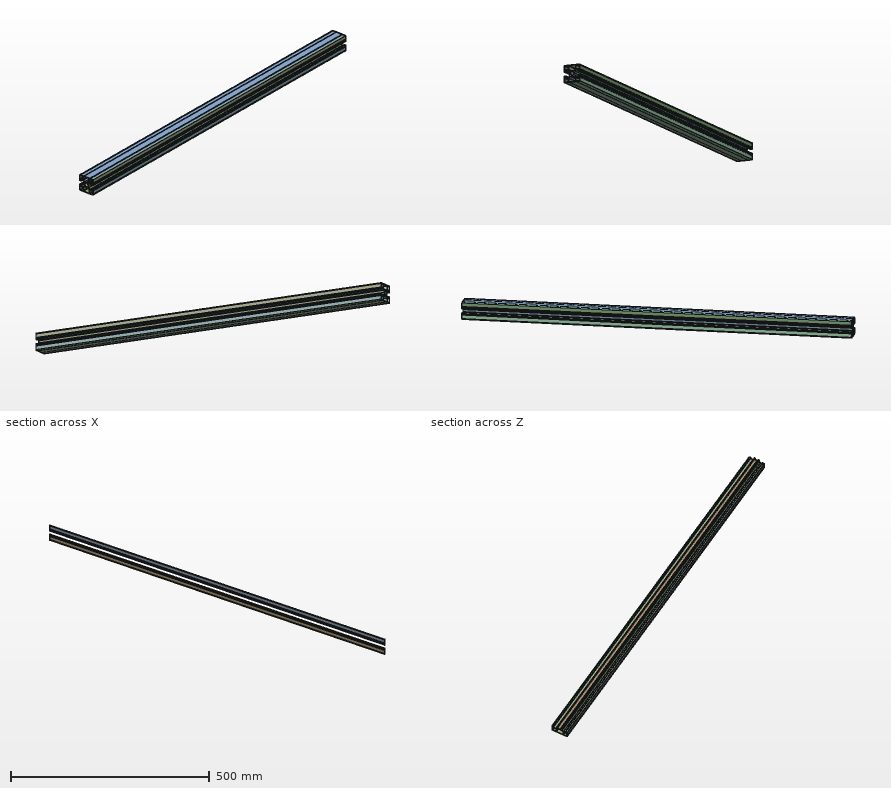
import cadquery as cq
import math

side = 45.0
length = 1000.0
corner_radius = 3.0

mouth_width = 10.0
mouth_radius = 1.5
lip_depth = 5.5
lip_step_width = 14.0

skin = 1.6
cavity_width = 18.2
web = 3.0

core = 15.0
bore_diameter = 10.0
floor_groove_width = 4.0
floor_groove_depth = 0.5

cell_outer_wall = 2.25
cell_inner_wall = 2.0

half = side / 2
lip_face = half - lip_depth
cavity_back = half - skin
quarter_turns = (0, 90, 180, 270)
open_side_turns = (0, 180)


def prism(section):
    """Extrude a section drawn on the XZ plane along the whole length."""
    return section.extrude(length / 2, both=True)


def turned(body, angle):
    """Turn a body about the axis of the extrusion."""
    return body.rotate((0, 0, 0), (0, 1, 0), angle)


def blank():
    """Solid square bar with rounded corners."""
    return prism(cq.Workplane("XZ").rect(side, side)).edges("|Y").fillet(corner_radius)


def cavity():
    """Hollow behind the +X side, between the skin, two diagonal webs and the grooved core floor."""
    floor = core / 2
    web_offset = web / 2 * math.sqrt(2)
    cavity_half = cavity_width / 2
    upper = [
        (cavity_back, cavity_half),
        (cavity_half + web_offset, cavity_half),
        (floor, floor - web_offset),
        (floor, floor_groove_width / 2),
    ]
    groove_bottom = [(floor - floor_groove_depth, 0)]
    lower = [(x, -z) for x, z in reversed(upper)]
    return prism(cq.Workplane("XZ").polyline(upper + groove_bottom + lower).close())


def corner_cell():
    """Square hollow in one corner."""
    inner = cavity_width / 2 + cell_inner_wall
    size = half - cell_outer_wall - inner
    centre = inner + size / 2
    return prism(cq.Workplane("XZ").center(centre, centre).rect(size, size))


def lip_ends():
    """Block behind the +X skin that leaves the two thickened lip ends once the mouth is cut."""
    centre = (lip_face + cavity_back) / 2
    return prism(cq.Workplane("XZ").center(centre, 0).rect(cavity_back - lip_face, lip_step_width))


def mouth():
    """Opening of the +X slot, flaring outward to round its outer edges."""
    edge = mouth_width / 2
    return prism(
        cq.Workplane("XZ")
        .moveTo(lip_face, -edge)
        .lineTo(half - mouth_radius, -edge)
        .radiusArc((half, -edge - mouth_radius), mouth_radius)
        .lineTo(half, edge + mouth_radius)
        .radiusArc((half - mouth_radius, edge), mouth_radius)
        .lineTo(lip_face, edge)
        .close()
    )


def bore():
    """Round hole through the core."""
    return prism(cq.Workplane("XZ").circle(bore_diameter / 2))


result = blank()
for angle in quarter_turns:
    result = result.cut(turned(cavity(), angle))
    result = result.cut(turned(corner_cell(), angle))
for angle in open_side_turns:
    result = result.union(turned(lip_ends(), angle))
    result = result.cut(turned(mouth(), angle))
result = result.cut(bore())